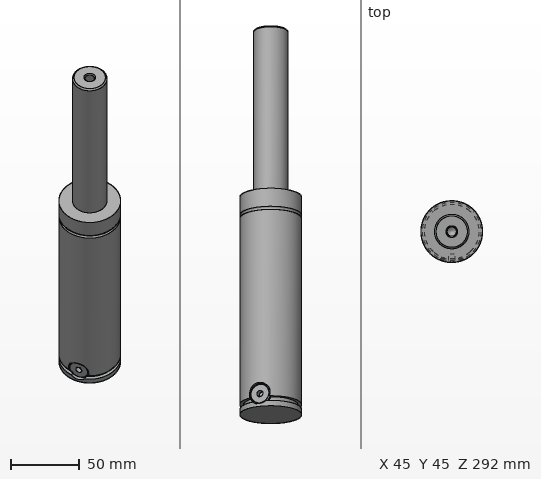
import cadquery as cq
import math

total_height = 292
body_diameter = 45.0
body_height = 165.3

rod_diameter = 25.0
rod_chamfer = 1.2
rod_hole_diameter = 6.7
rod_hole_depth = 14.5
rod_hole_countersink = 1.0
drill_tip_angle = 118

base_groove_bottom = 4.0
base_groove_top = 7.5
base_groove_depth = 2.5
cap_groove_height = 150.5
cap_groove_radius = 1.2

port_height = 10.2
port_diameter = 16.0
port_recess = 1.8
plug_face_diameter = 14.0
plug_hole_diameter = 4.7
plug_hole_depth = 4.5
plug_length = 10.2

body_radius = body_diameter / 2
plug_face_y = port_recess - body_radius
plug_chamfer = (port_diameter - plug_face_diameter) / 2


def base_groove():
    """Square-sided ring to cut from the outside of the body."""
    return (
        cq.Workplane("XY", origin=(0, 0, base_groove_bottom))
        .circle(body_radius + base_groove_depth)
        .circle(body_radius - base_groove_depth)
        .extrude(base_groove_top - base_groove_bottom)
    )


def cap_groove():
    """Torus that leaves a half-round groove in the outside of the body."""
    return (
        cq.Workplane("XZ")
        .center(body_radius, cap_groove_height)
        .circle(cap_groove_radius)
        .revolve(360, (-body_radius, 0, 0), (-body_radius, 1, 0))
    )


def port_cylinder(diameter, start_y, length):
    """Cylinder on the port axis, running inwards (+Y) from start_y."""
    plane = cq.Plane(origin=(0, start_y, port_height), xDir=(1, 0, 0), normal=(0, 1, 0))
    return cq.Workplane(plane).circle(diameter / 2).extrude(length)


def rod_end_hole():
    """Blind hole with a countersunk mouth and a conical drill tip."""
    radius = rod_hole_diameter / 2
    wall_bottom = total_height - rod_hole_depth
    tip_depth = radius / math.tan(math.radians(drill_tip_angle / 2))
    return (
        cq.Workplane("XZ")
        .moveTo(0, total_height)
        .lineTo(radius + rod_hole_countersink, total_height)
        .lineTo(radius, total_height - rod_hole_countersink)
        .lineTo(radius, wall_bottom)
        .lineTo(0, wall_bottom - tip_depth)
        .close()
        .revolve(360, (0, 0, 0), (0, 1, 0))
    )


body = cq.Workplane("XY").circle(body_radius).extrude(body_height)
body = body.cut(base_groove())
body = body.cut(cap_groove())

body = body.cut(port_cylinder(port_diameter, -body_radius, port_recess))
plug = port_cylinder(port_diameter, plug_face_y, plug_length).faces("<Y").chamfer(plug_chamfer)
body = body.cut(port_cylinder(port_diameter, plug_face_y, plug_length)).union(plug)
body = body.cut(port_cylinder(plug_hole_diameter, plug_face_y, plug_hole_depth))

rod = (
    cq.Workplane("XY", origin=(0, 0, body_height))
    .circle(rod_diameter / 2)
    .extrude(total_height - body_height)
    .faces(">Z")
    .chamfer(rod_chamfer)
)

result = body.union(rod).cut(rod_end_hole())